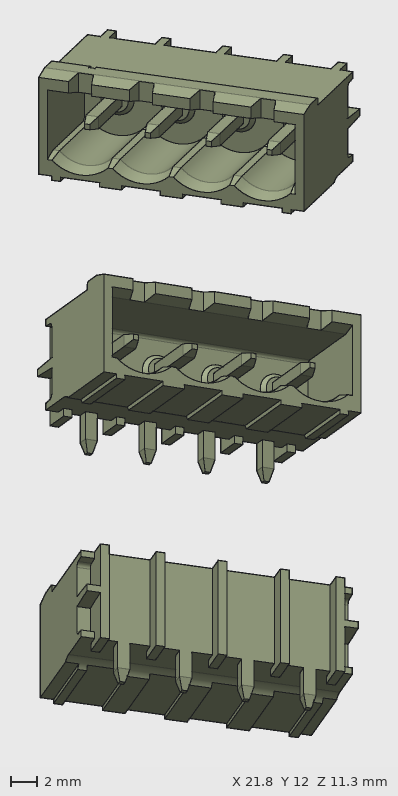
import cadquery as cq
import math


POLES = 4
PITCH = 5.0
PIN_Z = 4.19
pole_xs = [(i - (POLES - 1) / 2) * PITCH for i in range(POLES)]
between_xs = [(i - POLES / 2) * PITCH for i in range(1, POLES)]

LENGTH = 21.8
DEPTH = 12.0
TOTAL_HEIGHT = 11.25
BACK_Y = 10.49
TOP_Z = 8.02
FRONT_BOTTOM_Z = 0.35
REAR_BOTTOM_Z = 0.63

STEP_ROUND = 1.18
STEP_TOP_Y = 7.24

COLLAR_TOP_Z = 8.65
COLLAR_BACK_Y = 3.03
COLLAR_FRONT_Z = 8.33
COLLAR_SLOPE_END_Y = 1.3
COLLAR_ROUND = 0.26
KEY_WIDTH = 0.52
KEY_DEPTH = 0.5

CAVITY_WIDTH = 20.36
MOUTH_DEPTH = 1.25
CAVITY_DEPTH = 8.0
MOUTH_FLOOR_Z = 1.65
MOUTH_ROOF_Z = 7.4
MOUTH_FLARE = 0.35
BACK_ROUND = 0.28
BACK_BEVEL = 0.28
SCALLOP_RADIUS = 3.07
LIP_NOTCH_FRONT = 1.9
LIP_NOTCH_BACK = 1.22

FOOT_WIDTH = 1.8
RIB_WIDTH = 0.72
RIB_FRONT_Y = 9.53
SIDE_RECESS = 1.07
END_RIB_X = LENGTH / 2 - SIDE_RECESS - RIB_WIDTH / 2

RECESS_FRONT_Y = 9.4
RECESS_TOP_Z = 7.48
RECESS_BOTTOM_Z = 1.2
RECESS_DRAFT = 0.09
RECESS_ROUND = 0.35
BAR_Z = 4.15
BAR_ROOT = 0.85
BAR_TIP = 0.57

PIN_SIZE = 1.0
PIN_TIP_SIZE = 0.44
PIN_FRONT_Y = 1.5
PIN_TAPER = 1.1
TAIL_TIP_Z = COLLAR_TOP_Z - TOTAL_HEIGHT
TAIL_TAPER = 1.0
BOSS_RADIUS = 1.37
BOSS_TIP_RADIUS = 1.02
BOSS_HEIGHT = 0.35


def block(x0, x1, y0, y1, z0, z1):
    """Box between two opposite corners."""
    return cq.Workplane("XY").box(x1 - x0, y1 - y0, z1 - z0, centered=False).translate((x0, y0, z0))


def side_plate(outline, x0, x1):
    """Prism along X with a (Y, Z) outline."""
    return cq.Workplane("YZ", origin=(x0, 0, 0)).polyline(outline).close().extrude(x1 - x0)


def front_round(x, z, y0, length, radius):
    """Cylinder along +Y."""
    return cq.Workplane("XZ", origin=(x, y0, z)).circle(radius).extrude(-length)


def front_cone(x, z, y0, length, radius_start, radius_end):
    """Cone frustum along +Y."""
    axis_start = cq.Vector(x, y0, z)
    return cq.Workplane(cq.Solid.makeCone(radius_start, radius_end, length, axis_start, cq.Vector(0, 1, 0)))


def step_y(z):
    """Y of the rounded step at height z; the arc is level where it meets the rear bottom."""
    drop = STEP_ROUND - REAR_BOTTOM_Z + z
    return STEP_TOP_Y - math.sqrt(STEP_ROUND**2 - drop**2)


def housing():
    """Side outline of the housing along its full length, with the key notch in the collar."""
    body = (
        cq.Workplane("YZ", origin=(-LENGTH / 2, 0, 0))
        .moveTo(0, FRONT_BOTTOM_Z)
        .lineTo(step_y(FRONT_BOTTOM_Z), FRONT_BOTTOM_Z)
        .radiusArc((STEP_TOP_Y, REAR_BOTTOM_Z), STEP_ROUND)
        .lineTo(BACK_Y, REAR_BOTTOM_Z)
        .lineTo(BACK_Y, TOP_Z)
        .lineTo(COLLAR_BACK_Y, TOP_Z)
        .lineTo(COLLAR_BACK_Y, COLLAR_TOP_Z - COLLAR_ROUND)
        .radiusArc((COLLAR_BACK_Y - COLLAR_ROUND, COLLAR_TOP_Z), -COLLAR_ROUND)
        .lineTo(COLLAR_SLOPE_END_Y, COLLAR_TOP_Z)
        .lineTo(0, COLLAR_FRONT_Z)
        .close()
        .extrude(LENGTH)
    )
    key_x = pole_xs[0]
    key = block(
        key_x - KEY_WIDTH / 2, key_x + KEY_WIDTH / 2,
        COLLAR_BACK_Y - KEY_DEPTH, COLLAR_BACK_Y,
        TOP_Z, COLLAR_TOP_Z,
    )
    return body.cut(key)


def cavity():
    """Flared cavity with a scalloped floor under each pole."""
    floor = MOUTH_FLOOR_Z + MOUTH_FLARE
    roof = MOUTH_ROOF_Z - MOUTH_FLARE
    half = CAVITY_WIDTH / 2
    space = (
        cq.Workplane("YZ", origin=(-half, 0, 0))
        .moveTo(0, MOUTH_FLOOR_Z)
        .lineTo(MOUTH_DEPTH, floor)
        .lineTo(CAVITY_DEPTH - BACK_BEVEL, floor)
        .lineTo(CAVITY_DEPTH, floor + BACK_BEVEL)
        .lineTo(CAVITY_DEPTH, roof - BACK_ROUND)
        .radiusArc((CAVITY_DEPTH - BACK_ROUND, roof), -BACK_ROUND)
        .lineTo(MOUTH_DEPTH, roof)
        .lineTo(0, MOUTH_ROOF_Z)
        .close()
        .extrude(CAVITY_WIDTH)
    )
    lower_half = block(-half, half, 0, CAVITY_DEPTH, 0, PIN_Z)
    for x in pole_xs:
        scallop = front_round(x, PIN_Z, 0, CAVITY_DEPTH, SCALLOP_RADIUS)
        flare = front_cone(x, PIN_Z, 0, MOUTH_DEPTH, SCALLOP_RADIUS + MOUTH_FLARE, SCALLOP_RADIUS)
        space = space.union(scallop.union(flare).intersect(lower_half))
    return space


def lip_notch(x):
    """Tapered notch through the upper lip in front of one pole."""
    return (
        cq.Workplane("XY", origin=(x, 0, PIN_Z))
        .polyline([
            (-LIP_NOTCH_FRONT / 2, 0),
            (LIP_NOTCH_FRONT / 2, 0),
            (LIP_NOTCH_BACK / 2, MOUTH_DEPTH),
            (-LIP_NOTCH_BACK / 2, MOUTH_DEPTH),
        ])
        .close()
        .extrude(COLLAR_TOP_Z - PIN_Z)
    )


def foot(x, width):
    """Front foot whose rear end continues the rounded step."""
    return (
        cq.Workplane("YZ", origin=(x - width / 2, 0, 0))
        .lineTo(step_y(0), 0)
        .radiusArc((step_y(FRONT_BOTTOM_Z), FRONT_BOTTOM_Z), STEP_ROUND)
        .lineTo(0, FRONT_BOTTOM_Z)
        .close()
        .extrude(width)
    )


def rib(x):
    """Full-height rear rib that also stands on the board."""
    return block(x - RIB_WIDTH / 2, x + RIB_WIDTH / 2, RIB_FRONT_Y, DEPTH, 0, TOP_Z)


def side_recess(x0):
    """Recess in one end face that leaves a lip above and below."""
    outline = [
        (BACK_Y, RECESS_BOTTOM_Z),
        (RECESS_FRONT_Y, RECESS_BOTTOM_Z + RECESS_DRAFT),
        (RECESS_FRONT_Y, RECESS_TOP_Z - RECESS_DRAFT),
        (BACK_Y, RECESS_TOP_Z),
    ]
    recess = side_plate(outline, x0, x0 + SIDE_RECESS)
    return recess.edges("|X and <Y").fillet(RECESS_ROUND)


def end_bar(x0):
    """Bar on one end that tapers towards the rear."""
    return side_plate(
        [
            (RECESS_FRONT_Y, BAR_Z - BAR_ROOT / 2),
            (DEPTH, BAR_Z - BAR_TIP / 2),
            (DEPTH, BAR_Z + BAR_TIP / 2),
            (RECESS_FRONT_Y, BAR_Z + BAR_ROOT / 2),
        ],
        x0, x0 + SIDE_RECESS,
    )


def tapered_tip(plane, origin, length):
    """Square pin end that narrows along the plane normal."""
    return (
        cq.Workplane(plane, origin=origin)
        .rect(PIN_SIZE, PIN_SIZE)
        .workplane(offset=length)
        .rect(PIN_TIP_SIZE, PIN_TIP_SIZE)
        .loft(ruled=True)
    )


def pin(x):
    """Right-angle square pin with tapered ends and a conical boss at its root."""
    half = PIN_SIZE / 2
    tail_y = BACK_Y - half
    contact_y = PIN_FRONT_Y + PIN_TAPER
    tail_z = TAIL_TIP_Z + TAIL_TAPER
    contact = block(x - half, x + half, contact_y, BACK_Y, PIN_Z - half, PIN_Z + half)
    tail = block(x - half, x + half, BACK_Y - PIN_SIZE, BACK_Y, tail_z, PIN_Z)
    boss = front_cone(x, PIN_Z, CAVITY_DEPTH - BOSS_HEIGHT, BOSS_HEIGHT, BOSS_TIP_RADIUS, BOSS_RADIUS)
    return (
        contact.union(tail)
        .union(boss)
        .union(tapered_tip("XZ", (x, contact_y, PIN_Z), PIN_TAPER))
        .union(tapered_tip("XY", (x, tail_y, tail_z), -TAIL_TAPER))
    )


result = housing().cut(cavity())

for x in pole_xs:
    result = result.cut(lip_notch(x))

for x0 in (-LENGTH / 2, LENGTH / 2 - SIDE_RECESS):
    result = result.cut(side_recess(x0)).union(end_bar(x0))

for x in between_xs:
    result = result.union(foot(x, FOOT_WIDTH)).union(rib(x))

for x in (-END_RIB_X, END_RIB_X):
    result = result.union(foot(x, RIB_WIDTH)).union(rib(x))

for x in pole_xs:
    result = result.union(pin(x))